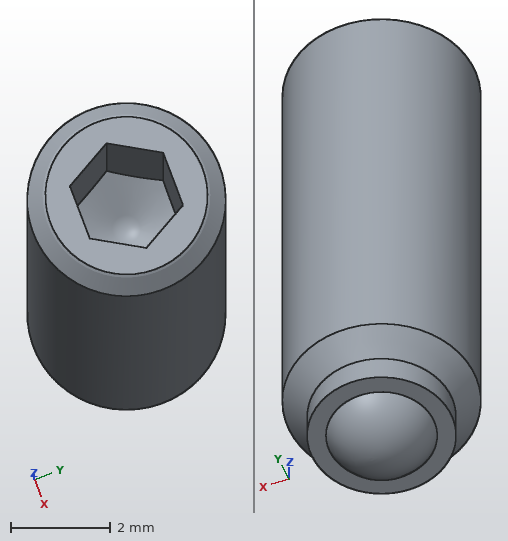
import cadquery as cq
import math

LENGTH = 12.0
BODY_RADIUS = LENGTH / 6

TOP_FACE_RADIUS = 1.63
TOP_CHAMFER = 0.31
EDGE_BREAK_HEIGHT = 0.04

COLLAR_RADIUS = 0.75 * BODY_RADIUS
BOTTOM_CHAMFER = BODY_RADIUS - COLLAR_RADIUS
COLLAR_BOTTOM = 0.7
COLLAR_HEIGHT = 0.6
COLLAR_TOP = COLLAR_BOTTOM + COLLAR_HEIGHT

BALL_RADIUS = 0.625 * BODY_RADIUS

SOCKET_FLATS = BODY_RADIUS
SOCKET_DEPTH = 2.4
SOCKET_CORNER_RADIUS = SOCKET_FLATS / math.sqrt(3)
SOCKET_POINT_ANGLE = 120.0
SOCKET_POINT_DEPTH = SOCKET_CORNER_RADIUS / math.tan(math.radians(SOCKET_POINT_ANGLE / 2))


def make_ball():
    return cq.Workplane("XY").sphere(BALL_RADIUS).translate((0, 0, BALL_RADIUS))


def make_blank():
    """Turned outer shape of the screw, revolved about Z."""
    return (
        cq.Workplane("XZ")
        .moveTo(0, COLLAR_BOTTOM)
        .lineTo(COLLAR_RADIUS, COLLAR_BOTTOM)
        .lineTo(COLLAR_RADIUS, COLLAR_TOP)
        .lineTo(BODY_RADIUS, COLLAR_TOP + BOTTOM_CHAMFER)
        .lineTo(BODY_RADIUS, LENGTH - EDGE_BREAK_HEIGHT - TOP_CHAMFER)
        .lineTo(BODY_RADIUS - TOP_CHAMFER, LENGTH - EDGE_BREAK_HEIGHT)
        .lineTo(TOP_FACE_RADIUS, LENGTH)
        .lineTo(0, LENGTH)
        .close()
        .revolve(360, (0, 0), (0, 1))
    )


def make_socket():
    """Hexagon with corners on X, its lower end trimmed to a drill-point cone."""
    prism_depth = SOCKET_DEPTH + SOCKET_POINT_DEPTH
    prism = (
        cq.Workplane("XY", origin=(0, 0, LENGTH))
        .polygon(6, 2 * SOCKET_CORNER_RADIUS)
        .extrude(-prism_depth)
    )
    drill = (
        cq.Workplane("XZ")
        .moveTo(0, LENGTH - prism_depth)
        .lineTo(SOCKET_CORNER_RADIUS, LENGTH - SOCKET_DEPTH)
        .lineTo(SOCKET_CORNER_RADIUS, LENGTH)
        .lineTo(0, LENGTH)
        .close()
        .revolve(360, (0, 0), (0, 1))
    )
    return prism.intersect(drill)


ball = make_ball()

screw = make_blank().cut(make_socket()).cut(ball).solids()

result = cq.Compound.makeCompound([screw.val(), ball.val()])